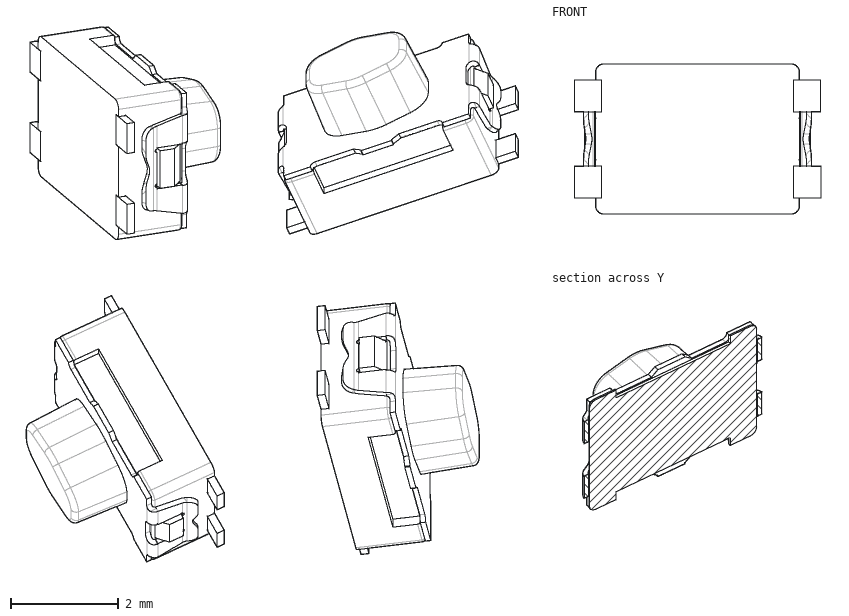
import cadquery as cq
import math


housing_x = 3.805
housing_z = 2.8
housing_top = 1.3
housing_corner_radius = 0.15
housing_top_radius = 0.045
recess_half_x = 1.295
recess_bottom = 0.785
recess_depth = 0.2

catch_reach = 0.202
catch_root = 0.045
catch_half_z = 0.375
catch_bottom = 0.76
catch_shoulder = 1.05

terminal_length = 0.505
terminal_width = 0.6
terminal_thickness = 0.15
terminal_inner_x = 1.79
terminal_center_z = 0.805
long_terminal_extra = 0.01

sheet = 0.1
cover_top = housing_top + sheet
cover_half_x = 1.86
cover_half_z = 1.35
edge_setback = 0.115
edge_step_inner_x = 1.23
edge_step_outer_x = 1.325
tab_root_half_x = 0.455
tab_tip_half_x = 0.31
lower_tab_z = 1.375
leg_outer_x = 2.02
leg_bend_radius = 0.15
leg_root_half_z = 0.98
leg_root_fillet = 0.095
leg_end_half_z = 0.83
leg_straight_end = 0.73
flare_angle = 25
flare_bend_radius = 0.19
flare_length = 0.21
flare_corner_radius = 0.205
valley_top = 0.575
valley_half_z = 0.375
valley_root_radius = 0.23
valley_shoulder_radius = 0.23

notch_half_z = 0.425
notch_inner_x = 1.805
notch_radius = 0.2
window_half_z = 0.41
window_bottom = 0.735
relief_radius = 0.035
relief_half_z = 0.35

button_top = 2.5
button_half_x = 1.055
button_apex_z = 0.835
button_slope = 15
button_corner_radius = 0.49
button_apex_radius = 0.777
button_draft = 2.5
button_top_radius = 0.11

beyond = 0.92


def box_between(x0, x1, y0, y1, z0, z1):
    return cq.Workplane("XY").box(x1 - x0, y1 - y0, z1 - z0, centered=False).translate((x0, y0, z0))


def mirrored_ends(body):
    """A feature built at +X together with its mirror image at -X."""
    return body.union(body.mirror("YZ"))


def make_terminals():
    """Four flat terminals; the one at +X, -Z is slightly longer."""
    terminals = []
    for x_sign in (1, -1):
        for z_sign in (1, -1):
            is_long = x_sign > 0 and z_sign < 0
            length = terminal_length + (long_terminal_extra if is_long else 0)
            terminals.append(
                cq.Workplane("XY")
                .box(length, terminal_thickness, terminal_width)
                .translate(
                    (
                        x_sign * (terminal_inner_x + length / 2),
                        terminal_thickness / 2,
                        z_sign * terminal_center_z,
                    )
                )
            )
    return terminals


def make_catches():
    """Snap catches, each with a 45 degree lead-in above its shoulder."""
    root_x = housing_x / 2 - catch_root
    face_x = housing_x / 2
    tip_x = face_x + catch_reach
    profile = [
        (root_x, catch_bottom),
        (tip_x, catch_bottom),
        (tip_x, catch_shoulder),
        (face_x, catch_shoulder + catch_reach),
        (root_x, catch_shoulder + catch_reach),
    ]
    catch = cq.Workplane("XY").polyline(profile).close().extrude(catch_half_z, both=True)
    return mirrored_ends(catch)


def make_housing(terminals):
    housing = (
        cq.Workplane("XY")
        .box(housing_x, housing_top, housing_z)
        .translate((0, housing_top / 2, 0))
        .edges("|Y")
        .fillet(housing_corner_radius)
        .faces(">Y")
        .edges()
        .fillet(housing_top_radius)
    )
    for z_sign in (1, -1):
        floor_z = z_sign * (housing_z / 2 - recess_depth)
        outer_z = z_sign * (housing_z / 2 + beyond)
        housing = housing.cut(
            box_between(
                -recess_half_x,
                recess_half_x,
                recess_bottom,
                housing_top + beyond,
                min(floor_z, outer_z),
                max(floor_z, outer_z),
            )
        )
    housing = housing.union(make_catches())
    for terminal in terminals:
        housing = housing.cut(terminal)
    return housing


def make_button():
    """Drafted hexagonal button with rounded corners, standing on the housing."""
    side_z = button_apex_z - button_half_x * math.tan(math.radians(button_slope))
    outline = (
        cq.Sketch()
        .polygon(
            [
                (button_half_x, -side_z),
                (button_half_x, side_z),
                (0, button_apex_z),
                (-button_half_x, side_z),
                (-button_half_x, -side_z),
                (0, -button_apex_z),
                (button_half_x, -side_z),
            ]
        )
        .vertices("<X or >X")
        .fillet(button_corner_radius)
        .reset()
        .vertices("<Y or >Y")
        .fillet(button_apex_radius)
    )
    seat = cq.Plane(origin=(0, housing_top, 0), xDir=(1, 0, 0), normal=(0, 1, 0))
    return (
        cq.Workplane(seat)
        .placeSketch(outline)
        .extrude(button_top - housing_top, taper=button_draft)
        .faces(">Y")
        .edges()
        .fillet(button_top_radius)
    )


bend_center_x = leg_outer_x - leg_bend_radius
bend_center_y = cover_top - leg_bend_radius
flare_center_x = leg_outer_x + flare_bend_radius
flare_outer_radius = flare_bend_radius + sheet
flare_turn = math.radians(flare_angle)
flare_start_y = leg_straight_end - flare_bend_radius * math.sin(flare_turn)


def on_leg_bend(radius, turn):
    """Point on the bend from plate to leg, at an angle from the plate end."""
    return (bend_center_x + radius * math.sin(turn), bend_center_y + radius * math.cos(turn))


def on_flare_bend(radius, turn):
    """Point on the bend from the straight leg to its flared end."""
    return (flare_center_x - radius * math.cos(turn), leg_straight_end - radius * math.sin(turn))


def flare_tip(radius):
    """End of the flared part on the face that continues the bend of this radius."""
    x, y = on_flare_bend(radius, flare_turn)
    return (x + flare_length * math.sin(flare_turn), y - flare_length * math.cos(flare_turn))


flare_tip_y = flare_tip(flare_outer_radius)[1]


def bent_strip():
    """Sheet strip at +X: plate end, bend, straight drop and flared end."""
    half_bend = math.pi / 4
    inner_bend_radius = leg_bend_radius - sheet
    leg_inner_x = leg_outer_x - sheet
    return (
        cq.Workplane("XY")
        .moveTo(bend_center_x - notch_radius, housing_top)
        .lineTo(bend_center_x - notch_radius, cover_top)
        .lineTo(bend_center_x, cover_top)
        .threePointArc(on_leg_bend(leg_bend_radius, half_bend), (leg_outer_x, bend_center_y))
        .lineTo(leg_outer_x, leg_straight_end)
        .threePointArc(
            on_flare_bend(flare_bend_radius, flare_turn / 2),
            on_flare_bend(flare_bend_radius, flare_turn),
        )
        .lineTo(*flare_tip(flare_bend_radius))
        .lineTo(*flare_tip(flare_outer_radius))
        .lineTo(*on_flare_bend(flare_outer_radius, flare_turn))
        .threePointArc(
            on_flare_bend(flare_outer_radius, flare_turn / 2), (leg_inner_x, leg_straight_end)
        )
        .lineTo(leg_inner_x, bend_center_y)
        .threePointArc(on_leg_bend(inner_bend_radius, half_bend), (bend_center_x, housing_top))
        .close()
        .extrude(cover_half_z, both=True)
    )


def leg_side_limits():
    """Prism along X that holds the leg between its tapering sides."""
    half = [
        (cover_half_z, cover_top + beyond),
        (cover_half_z, bend_center_y),
        (leg_root_half_z, bend_center_y),
        (leg_end_half_z, flare_start_y),
        (leg_end_half_z, -beyond),
    ]
    outline = half + [(-z, y) for z, y in reversed(half)]
    return cq.Workplane("ZY").polyline(outline).close().extrude(2 * leg_outer_x, both=True)


def leg_root_corners():
    """Plan cutters that leave filleted inner corners where the leg meets the plate edge."""
    corner = box_between(
        cover_half_x,
        cover_half_x + beyond,
        -beyond,
        cover_top + beyond,
        leg_root_half_z,
        leg_root_half_z + beyond,
    )
    corner = corner.edges("|Y and <X and <Z").fillet(leg_root_fillet)
    return corner.union(corner.mirror("XY"))


def leg_valley():
    """Rounded V that divides the flared end into two lobes, as a prism along X."""
    outline = (
        cq.Sketch()
        .polygon(
            [
                (0, valley_top),
                (valley_half_z, flare_tip_y),
                (valley_half_z, -beyond),
                (-valley_half_z, -beyond),
                (-valley_half_z, flare_tip_y),
                (0, valley_top),
            ]
        )
        .vertices(">Y")
        .fillet(valley_root_radius)
    )
    return cq.Workplane("ZY").placeSketch(outline).extrude(2 * leg_outer_x, both=True)


def leg_window():
    """Opening for the catch: rounded notch in the plate end, window and corner reliefs."""
    outer_x = leg_outer_x + beyond
    notch = box_between(
        notch_inner_x,
        outer_x,
        bend_center_y,
        cover_top + beyond,
        -notch_half_z,
        notch_half_z,
    )
    notch = notch.edges("|Y and <X").fillet(notch_radius)
    window = box_between(
        housing_x / 2,
        outer_x,
        window_bottom,
        bend_center_y,
        -window_half_z,
        window_half_z,
    )
    reliefs = (
        cq.Workplane("YZ", origin=(housing_x / 2, 0, 0))
        .pushPoints([(window_bottom, -relief_half_z), (window_bottom, relief_half_z)])
        .circle(relief_radius)
        .extrude(beyond)
    )
    return notch.union(window).union(reliefs)


def make_leg():
    tip_rise = sheet * math.sin(flare_turn)

    def at_tip(half_z):
        return cq.selectors.BoxSelector(
            (leg_outer_x - sheet, flare_tip_y - tip_rise, -half_z),
            (leg_outer_x + beyond, flare_tip_y + tip_rise, half_z),
        )

    return (
        bent_strip()
        .intersect(leg_side_limits())
        .edges(at_tip(cover_half_z))
        .edges("not |Z")
        .fillet(flare_corner_radius)
        .cut(leg_root_corners())
        .cut(leg_valley())
        .edges(at_tip(valley_half_z + tip_rise))
        .edges("not |Z")
        .fillet(valley_shoulder_radius)
        .cut(leg_window())
    )


def edge_setback_cut():
    """Cutter for the setback +Z plate edge, with rounded ends and a central tab left standing."""
    inner_z = cover_half_z - edge_setback
    steps = []
    for x_sign in (1, -1):
        steps.append(
            cq.Workplane("XZ", origin=(0, cover_top, 0))
            .moveTo(x_sign * tab_root_half_x, inner_z)
            .lineTo(x_sign * edge_step_inner_x, inner_z)
            .radiusArc((x_sign * edge_step_outer_x, cover_half_z), -x_sign * edge_setback)
            .lineTo(x_sign * edge_step_outer_x, cover_half_z + beyond)
            .lineTo(x_sign * tab_tip_half_x, cover_half_z + beyond)
            .lineTo(x_sign * tab_tip_half_x, cover_half_z)
            .close()
            .extrude(sheet)
        )
    return steps[0].union(steps[1])


def make_cover(button):
    plate = box_between(
        -cover_half_x, cover_half_x, housing_top, cover_top, -cover_half_z, cover_half_z
    )
    setback = edge_setback_cut()
    plate = plate.cut(setback).cut(setback.mirror("XY"))
    lower_tab = box_between(
        -tab_tip_half_x, tab_tip_half_x, housing_top, cover_top, -lower_tab_z, -cover_half_z
    )
    plate = plate.union(lower_tab)
    plate = plate.cut(mirrored_ends(leg_window()))
    return plate.union(mirrored_ends(make_leg())).cut(button)


terminals = make_terminals()
housing = make_housing(terminals)
button = make_button()
cover = make_cover(button)

result = cq.Compound.makeCompound(
    [housing.val(), cover.val(), button.val(), *[terminal.val() for terminal in terminals]]
)